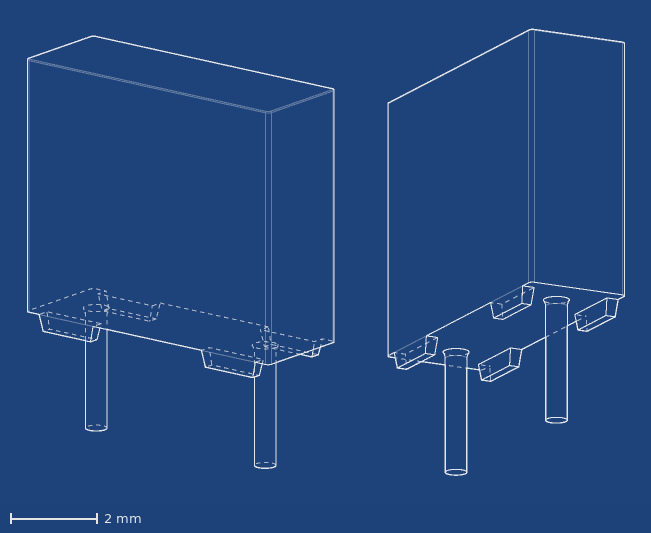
import cadquery as cq

length = 7.2
depth = 2.5
total_height = 9.0
lead_length = 2.9
body_height = total_height - lead_length
corner_radius = 0.1
top_edge_radius = 0.03

lead_offset = 2.5
lead_diameter = 0.5
collar_diameter = 0.6
collar_height = 0.15

foot_offset = 2.4
foot_length = 1.6
foot_width = 0.3
foot_height = 0.4
foot_end_inset = 0.1
foot_side_inset = 0.03
foot_y = (depth - foot_width) / 2


def make_body():
    """Block with rounded vertical corners and a finely rounded top rim."""
    block = cq.Workplane("XY").box(length, depth, body_height, centered=(True, True, False))
    block = block.edges("|Z").fillet(corner_radius)
    return block.faces(">Z").edges().fillet(top_edge_radius)


def make_lead(x):
    """Round lead whose collar flares out in a concave arc towards the body."""
    lead_radius = lead_diameter / 2
    profile = (
        cq.Workplane("XZ")
        .moveTo(0, -lead_length)
        .lineTo(lead_radius, -lead_length)
        .lineTo(lead_radius, -collar_height)
        .tangentArcPoint((collar_diameter / 2, 0), relative=False)
        .lineTo(0, 0)
        .close()
    )
    return profile.revolve(360, (0, 0, 0), (0, 1, 0)).translate((x, 0, 0))


def make_foot(x, y):
    """Foot with all four sides sloping inwards towards its lower face."""
    return (
        cq.Workplane("XY")
        .center(x, y)
        .rect(foot_length, foot_width)
        .workplane(offset=-foot_height)
        .rect(foot_length - 2 * foot_end_inset, foot_width - 2 * foot_side_inset)
        .loft(ruled=True)
    )


result = make_body()
for side in (-1, 1):
    result = result.union(make_lead(side * lead_offset))
    for face in (-1, 1):
        result = result.union(make_foot(side * foot_offset, face * foot_y))